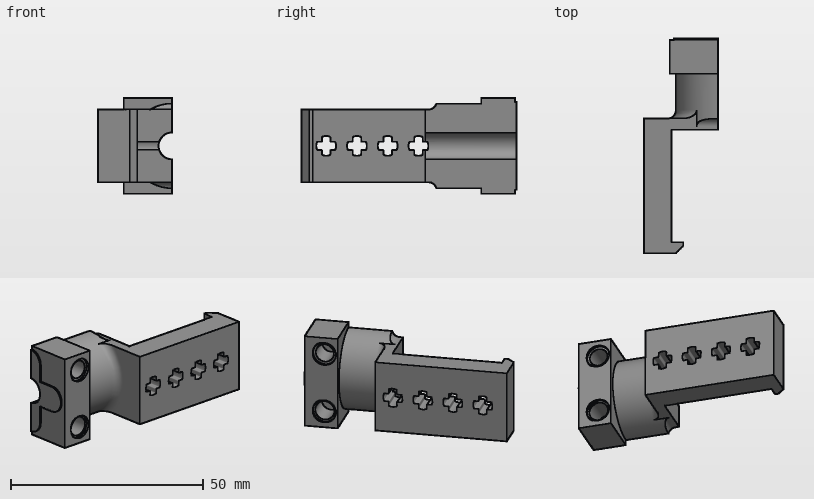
import cadquery as cq


total_width = 19.25
total_length = 56.0
module = 8.0

arm_height = 19.05
arm_thickness = 7.2
plate_thickness = 2.95
hook_overhang = 3.0
hook_chamfer = 2.0
flange_top = 35.15

barrel_radius = 11.05
bore_radius = 3.5
fillet_radius = 2.0

block_width = 12.6
block_length = 8.85
block_height = 25.0
cross_relief = 0.4
cross_radius = bore_radius

axle_hole_count = 4
first_axle_y = 6.45
axle_diameter = 5.1
axle_slot = 2.1
axle_corner_radius = 0.3

pin_y = 50.35
upper_pin_diameter = 4.8
lower_pin_diameter = 5.1
pin_rim_diameter = 6.2
pin_rim_depth = 0.7
pin_depth = module

half_arm_height = arm_height / 2
arm_inner_x = arm_thickness - total_width
flange_bottom = flange_top - plate_thickness
block_end = total_length - cross_relief
block_start = block_end - block_length


def box(x0, x1, y0, y1, height):
    """Box between two X and two Y values, centred on Z = 0."""
    return cq.Workplane("XY").box(x1 - x0, y1 - y0, height).translate(((x0 + x1) / 2, (y0 + y1) / 2, 0))


def cylinder_y(radius, y0, y1):
    """Full cylinder on the barrel axis."""
    return cq.Workplane("XZ", origin=(0, y0, 0)).circle(radius).extrude(y0 - y1)


def cylinder_x(diameter, depth, y, z):
    """Cylinder along X that starts on the outer face of the block."""
    return cq.Workplane("YZ", origin=(-block_width, y, z)).circle(diameter / 2).extrude(depth)


def make_arm():
    """L-shaped arm: flange at one end, chamfered hook at the other."""
    hook_x = arm_inner_x + hook_overhang
    outline = [
        (-total_width, 0),
        (hook_x - hook_chamfer, 0),
        (hook_x, hook_chamfer),
        (hook_x, plate_thickness),
        (arm_inner_x, plate_thickness),
        (arm_inner_x, flange_bottom),
        (0, flange_bottom),
        (0, flange_top),
        (-total_width, flange_top),
    ]
    return cq.Workplane("XY").polyline(outline).close().extrude(half_arm_height, both=True)


def make_barrel_fillet():
    """Concave ring that blends the barrel into the flange, as high as the arm."""
    foot_radius = barrel_radius + fillet_radius
    ring = (
        cq.Workplane("XY")
        .moveTo(0, flange_top)
        .lineTo(foot_radius, flange_top)
        .radiusArc((barrel_radius, flange_top + fillet_radius), fillet_radius)
        .lineTo(0, flange_top + fillet_radius)
        .close()
        .revolve(360, (0, 0, 0), (0, 1, 0))
    )
    return ring.intersect(box(-total_width, 0, 0, total_length, arm_height))


def make_overhang_fillet(side):
    """Concave blend between the flange edge and the barrel end that overhangs it."""
    edge_z = side * half_arm_height
    outer_z = side * (half_arm_height + fillet_radius)
    blend = (
        cq.Workplane("YZ")
        .moveTo(flange_top - fillet_radius, edge_z)
        .radiusArc((flange_top, outer_z), -side * fillet_radius)
        .lineTo(flange_top, 0)
        .lineTo(flange_top - fillet_radius, 0)
        .close()
        .extrude(-total_width)
    )
    return blend.intersect(cylinder_y(barrel_radius, flange_bottom, flange_top))


def make_raised_cross():
    """Low cross of two round-ended bars on the end face of the block."""
    bar_length = 2 * (module + cross_radius)
    face = cq.Workplane("XZ", origin=(0, block_end, 0))
    cross = face.slot2D(bar_length, 2 * cross_radius).extrude(-cross_relief)
    return cross.union(face.slot2D(bar_length, 2 * cross_radius, 90).extrude(-cross_relief))


def make_axle_hole(y):
    """Cross-shaped cutter along X whose four round-ended lobes have rounded corners."""
    plane = cq.Workplane("YZ", origin=(-total_width, y, 0))
    cross = plane.rect(axle_slot, axle_diameter).extrude(total_width)
    cross = cross.union(plane.rect(axle_diameter, axle_slot).extrude(total_width))
    cross = cross.intersect(plane.circle(axle_diameter / 2).extrude(total_width)).clean()
    return cross.edges("|X").fillet(axle_corner_radius)


body = make_arm()
body = body.union(cylinder_y(barrel_radius, flange_top, block_start))
body = body.union(make_barrel_fillet())
for side in (-1, 1):
    body = body.union(make_overhang_fillet(side))
body = body.union(box(-block_width, 0, block_start, block_end, block_height))
body = body.union(make_raised_cross())

body = body.intersect(box(-total_width, 0, 0, total_length, block_height))

body = body.cut(cylinder_y(bore_radius, 0, total_length))

for index in range(axle_hole_count):
    body = body.cut(make_axle_hole(first_axle_y + index * module))

for pin_z, pin_diameter in ((module, upper_pin_diameter), (-module, lower_pin_diameter)):
    body = body.cut(cylinder_x(pin_diameter, pin_depth, pin_y, pin_z))
    body = body.cut(cylinder_x(pin_rim_diameter, pin_rim_depth, pin_y, pin_z))

result = body